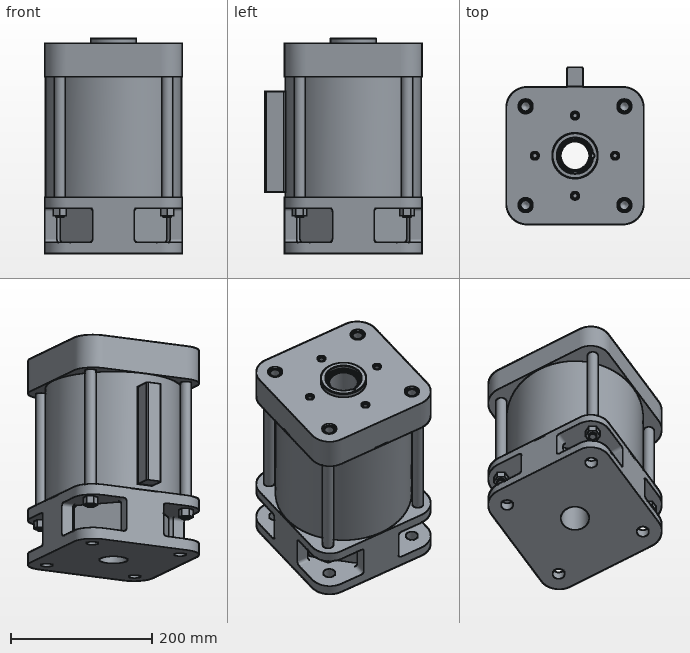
import cadquery as cq
import math

PLATE_WIDTH = 195.0
PLATE_CORNER_RADIUS = 30.0
HALF_WIDTH = PLATE_WIDTH / 2

TOTAL_HEIGHT = 305.0
FLANGE_HEIGHT = 7.0
HEAD_THICKNESS = 48.0
FOOT_BLOCK_HEIGHT = 80.0
HEAD_TOP = TOTAL_HEIGHT - FLANGE_HEIGHT
HEAD_BOTTOM = HEAD_TOP - HEAD_THICKNESS

BARREL_DIAMETER = 192.8

POCKET_FLOOR = 16.2
POCKET_CEILING = 64.7
POCKET_REACH = 68.0
POCKET_SIDE_DEPTH = 17.5
POCKET_WIDENING = 4.5
POCKET_FILLET = 5.0
POCKET_OVERSHOOT = 6.0
POCKET_TOLERANCE = 0.03

ROD_CIRCLE_DIAMETER = 214.7
ROD_DIAMETER = 16.0
NUT_ACROSS_FLATS = 18.0
NUT_HEIGHT = 10.7
STUD_DIAMETER = 12.0
STUD_PROJECTION = 2.5
STUD_CHAMFER = 1.0

CORNER_HOLE_SPACING = 139.7
HEAD_HOLE_RIM_DIAMETER = 20.7
HEAD_HOLE_DIAMETER = 17.0
HEAD_HOLE_DEPTH = 2.5
HEAD_DRILL_DIAMETER = 13.7
HEAD_DRILL_DEPTH = 30.5
DRILL_POINT_ANGLE = 118.0
FOOT_HOLE_DIAMETER = 17.0

SMALL_HOLE_CIRCLE_DIAMETER = 113.5
SMALL_HOLE_RIM_DIAMETER = 12.0
SMALL_HOLE_DIAMETER = 10.0
SMALL_HOLE_DEPTH = 2.0
SMALL_DRILL_DIAMETER = 7.0
SMALL_DRILL_DEPTH = 19.8

FLANGE_DIAMETER = 65.0
FLANGE_CHAMFER = 1.0
BORE_DIAMETER = 40.0
STEP_MOUTH_DIAMETER = 46.0
STEP_DIAMETER = 44.2
STEP_DEPTH = 8.5
RECESS_DIAMETER = 50.5
RECESS_CHAMFER = 0.5
RECESS_DEPTH = 5.5
NOTCH_DIAMETER = 6.0
NOTCH_OFFSET = 24.7

TOTAL_DEPTH = 222.5
BOX_WIDTH = 23.0
BOX_BOTTOM = 87.2
BOX_HEIGHT = 142.5
BOX_BACK = 98.5
BOX_FRONT = TOTAL_DEPTH - HALF_WIDTH
BOX_CHAMFER = 1.8
PAD_EMBEDMENT = 6.0


def square_points(spacing):
    half = spacing / 2
    return [(x, y) for x in (-half, half) for y in (-half, half)]


def cylinder(diameter, bottom, top, points=((0, 0),)):
    return (
        cq.Workplane("XY")
        .workplane(offset=bottom)
        .pushPoints(points)
        .circle(diameter / 2)
        .extrude(top - bottom)
    )


def end_block(bottom, top):
    return (
        cq.Workplane("XY")
        .workplane(offset=bottom)
        .rect(PLATE_WIDTH, PLATE_WIDTH)
        .extrude(top - bottom)
        .edges("|Z")
        .fillet(PLATE_CORNER_RADIUS)
    )


def corner_pocket():
    """Cutter for the pocket at the (-X, -Y) corner, widening behind its two mouths."""
    outside = -HALF_WIDTH - POCKET_OVERSHOOT
    mouth_end = -HALF_WIDTH + POCKET_REACH
    mouth_depth = -HALF_WIDTH + POCKET_SIDE_DEPTH
    outline = [
        (outside, outside),
        (outside, mouth_end),
        (mouth_depth, mouth_end),
        (mouth_depth + POCKET_WIDENING, mouth_end + POCKET_WIDENING),
        (mouth_end + POCKET_WIDENING, mouth_depth + POCKET_WIDENING),
        (mouth_end, mouth_depth),
        (mouth_end, outside),
    ]
    pocket = (
        cq.Workplane("XY")
        .workplane(offset=POCKET_FLOOR)
        .polyline(outline)
        .close()
        .extrude(POCKET_CEILING - POCKET_FLOOR)
    )
    rounded_edges = []
    for edge in pocket.edges("#Z").vals():
        centre = edge.Center()
        direction = edge.tangentAt(0)
        on_side_wall = max(centre.x, centre.y) > mouth_end - POCKET_TOLERANCE
        on_back_wall = direction.x * direction.y < -POCKET_TOLERANCE
        if on_side_wall and not on_back_wall:
            rounded_edges.append(edge)
    return pocket.newObject(rounded_edges).fillet(POCKET_FILLET)


def foot_block():
    block = end_block(0, FOOT_BLOCK_HEIGHT)
    pocket = corner_pocket()
    for quarter in range(4):
        block = block.cut(pocket.rotate((0, 0, 0), (0, 0, 1), 90 * quarter))
    return block.cut(cylinder(FOOT_HOLE_DIAMETER, 0, POCKET_FLOOR, square_points(CORNER_HOLE_SPACING)))


def stepped_holes(points, rim_diameter, hole_diameter, hole_depth, drill_diameter, drill_depth):
    """Cutter for blind head holes: 45-degree rim chamfer, hole, and a narrower drilled end."""
    chamfer = (rim_diameter - hole_diameter) / 2
    profile = [
        (0, 0),
        (rim_diameter / 2, 0),
        (hole_diameter / 2, -chamfer),
        (hole_diameter / 2, -hole_depth),
        (drill_diameter / 2, -hole_depth),
        (drill_diameter / 2, -drill_depth),
        (0, -drill_depth),
    ]
    hole = cq.Workplane("XZ").polyline(profile).close().revolve(360, (0, 0), (0, 1))
    holes = cq.Workplane("XY")
    for x, y in points:
        holes = holes.add(hole.translate((x, y, HEAD_TOP)))
    return holes.combine()


def drill_points(points):
    """Conical ends of the corner holes."""
    height = HEAD_DRILL_DIAMETER / 2 / math.tan(math.radians(DRILL_POINT_ANGLE / 2))
    bottom = HEAD_TOP - HEAD_DRILL_DEPTH - height
    cones = cq.Workplane("XY")
    for x, y in points:
        cone = cq.Solid.makeCone(0, HEAD_DRILL_DIAMETER / 2, height)
        cones = cones.add(cone.translate(cq.Vector(x, y, bottom)))
    return cones.combine()


def head_block():
    corners = square_points(CORNER_HOLE_SPACING)
    corner_holes = stepped_holes(
        corners,
        HEAD_HOLE_RIM_DIAMETER,
        HEAD_HOLE_DIAMETER,
        HEAD_HOLE_DEPTH,
        HEAD_DRILL_DIAMETER,
        HEAD_DRILL_DEPTH,
    )
    radius = SMALL_HOLE_CIRCLE_DIAMETER / 2
    small_holes = stepped_holes(
        [(radius, 0), (0, radius), (-radius, 0), (0, -radius)],
        SMALL_HOLE_RIM_DIAMETER,
        SMALL_HOLE_DIAMETER,
        SMALL_HOLE_DEPTH,
        SMALL_DRILL_DIAMETER,
        SMALL_DRILL_DEPTH,
    )
    return end_block(HEAD_BOTTOM, HEAD_TOP).cut(corner_holes).cut(drill_points(corners)).cut(small_holes)


def tie_rods():
    points = square_points(ROD_CIRCLE_DIAMETER / math.sqrt(2))
    nut_bottom = POCKET_CEILING - NUT_HEIGHT
    stud_bottom = nut_bottom - STUD_PROJECTION
    rods = cylinder(ROD_DIAMETER, FOOT_BLOCK_HEIGHT, HEAD_BOTTOM, points)
    studs = cylinder(STUD_DIAMETER, stud_bottom, POCKET_CEILING, points).faces("<Z").chamfer(STUD_CHAMFER)
    nuts = (
        cq.Workplane("XY")
        .workplane(offset=nut_bottom)
        .pushPoints(points)
        .polygon(6, NUT_ACROSS_FLATS, circumscribed=True)
        .extrude(NUT_HEIGHT)
        .cut(cylinder(STUD_DIAMETER, nut_bottom, POCKET_CEILING, points))
    )
    return rods.add(nuts).add(studs).combine()


def box_prism(front, back):
    return cq.Workplane("XY").box(
        BOX_WIDTH, front - back, BOX_HEIGHT, centered=(True, False, False)
    ).translate((0, back, BOX_BOTTOM))


def central_bore():
    """Revolved cutter for the through bore with its chamfered step and recess at the top."""
    recess_floor = TOTAL_HEIGHT - RECESS_DEPTH
    step_floor = TOTAL_HEIGHT - STEP_DEPTH
    step_chamfer = (STEP_MOUTH_DIAMETER - STEP_DIAMETER) / 2
    profile = [
        (0, 0),
        (BORE_DIAMETER / 2, 0),
        (BORE_DIAMETER / 2, step_floor),
        (STEP_DIAMETER / 2, step_floor),
        (STEP_DIAMETER / 2, recess_floor - step_chamfer),
        (STEP_MOUTH_DIAMETER / 2, recess_floor),
        (RECESS_DIAMETER / 2, recess_floor),
        (RECESS_DIAMETER / 2, TOTAL_HEIGHT - RECESS_CHAMFER),
        (RECESS_DIAMETER / 2 + RECESS_CHAMFER, TOTAL_HEIGHT),
        (0, TOTAL_HEIGHT),
    ]
    return cq.Workplane("XZ").polyline(profile).close().revolve(360, (0, 0), (0, 1))


def make_housing():
    flange = cylinder(FLANGE_DIAMETER, HEAD_TOP, TOTAL_HEIGHT).faces(">Z").chamfer(FLANGE_CHAMFER)
    pad = box_prism(BOX_BACK, BARREL_DIAMETER / 2 - PAD_EMBEDMENT)
    housing = (
        foot_block()
        .union(cylinder(BARREL_DIAMETER, FOOT_BLOCK_HEIGHT, HEAD_BOTTOM))
        .union(head_block())
        .union(flange)
        .union(tie_rods())
        .union(pad)
    )
    recess_floor = TOTAL_HEIGHT - RECESS_DEPTH
    notch = cylinder(NOTCH_DIAMETER, recess_floor, TOTAL_HEIGHT, [(NOTCH_OFFSET, 0)])
    return housing.cut(central_bore()).cut(notch)


def make_connection_box():
    return box_prism(BOX_FRONT, BOX_BACK).edges("|Z and >Y").chamfer(BOX_CHAMFER)


housing = make_housing()
connection_box = make_connection_box()
result = cq.Compound.makeCompound([housing.val(), connection_box.val()])